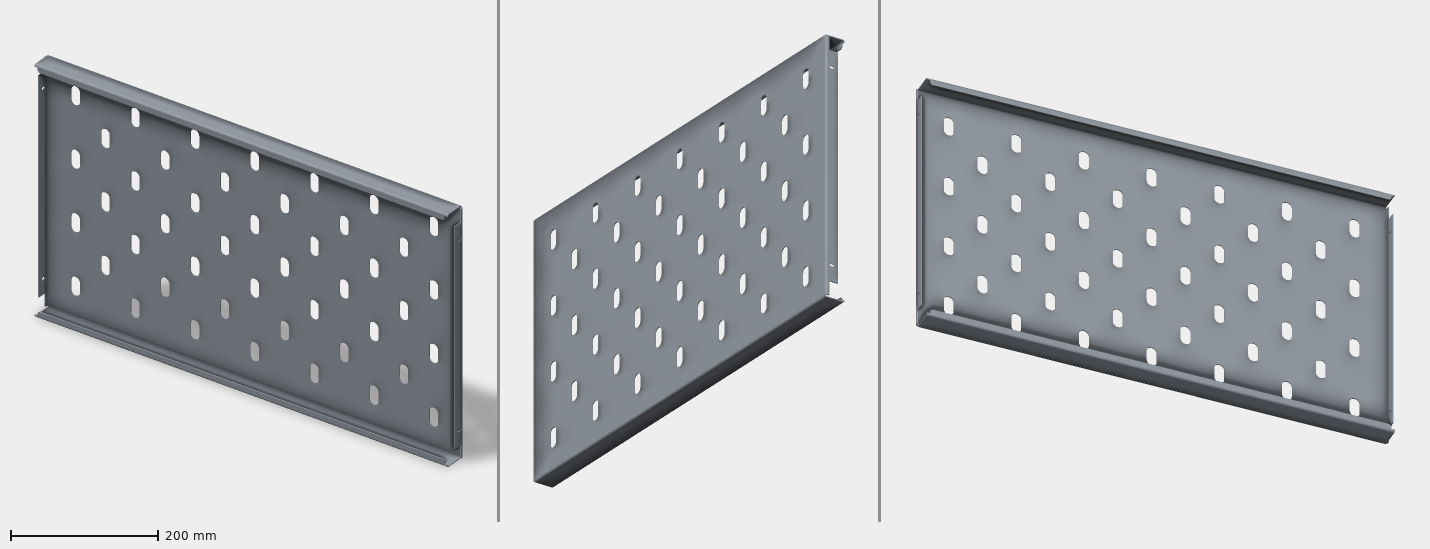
import cadquery as cq

LENGTH = 698.0
DEPTH = 33.0
HEIGHT = 398.0

THICKNESS = 1.5
BEND_INNER = 1.5
BEND_OUTER = BEND_INNER + THICKNESS

FLANGE_LENGTH = LENGTH - 2 * BEND_OUTER
LIP_HEIGHT = 10.8
LIP_END_INSET = 5.5
LIP_LEDGE = 0.8
LIP_CHAMFER = 2.5

SIDE_DEPTH = 20.0
SIDE_FLANGE_HEIGHT = 350.0
SIDE_STRIP_DEPTH = 5.5
CORNER_DROP = 2.5
SIDE_STRIP_HEIGHT = HEIGHT - 2 * CORNER_DROP

FIXING_LENGTH = 7.0
FIXING_WIDTH = 4.0
FIXING_COUNT = 2
FIXING_SPACING = 300.0
FIXING_FROM_BACK = 10.0

SLOT_LENGTH = 30.0
SLOT_WIDTH = 15.0
SLOT_PITCH = 100.0
MAIN_COLUMNS = 7
MAIN_ROWS = 4

HALF_LENGTH = LENGTH / 2
HALF_HEIGHT = HEIGHT / 2


def box(x_size, y_min, y_max, z_size):
    """Box centred on X and Z, between two Y positions."""
    return (
        cq.Workplane("XY")
        .box(x_size, y_max - y_min, z_size)
        .translate((0, (y_min + y_max) / 2, 0))
    )


def channel_with_lips():
    """Panel with the top and bottom flanges and their lips, without any cut at the ends."""
    outer = box(FLANGE_LENGTH, -DEPTH, 0, HEIGHT).edges("|X").fillet(BEND_OUTER)
    inner = (
        box(FLANGE_LENGTH, -DEPTH + THICKNESS, -THICKNESS, HEIGHT - 2 * THICKNESS)
        .edges("|X")
        .fillet(BEND_INNER)
    )
    mouth = box(FLANGE_LENGTH, -DEPTH, -DEPTH / 2, HEIGHT - 2 * LIP_HEIGHT)
    return outer.cut(inner).cut(mouth)


def lip_end_cutter(x_sign, z_sign):
    """Removes the end of one lip, leaving it inset and chamfered."""
    x_end = FLANGE_LENGTH / 2
    x_lip = x_end - LIP_END_INSET
    z_root = HALF_HEIGHT - BEND_OUTER - LIP_LEDGE
    z_tip = HALF_HEIGHT - LIP_HEIGHT
    outline = [
        (x_end, z_root),
        (x_lip, z_root),
        (x_lip, z_tip + LIP_CHAMFER),
        (x_lip - LIP_CHAMFER, z_tip),
        (x_end, z_tip),
    ]
    return (
        cq.Workplane("XZ", origin=(0, -DEPTH + BEND_OUTER, 0))
        .polyline([(x_sign * x, z_sign * z) for x, z in outline])
        .close()
        .extrude(BEND_OUTER)
    )


def side_walls():
    """Both side flanges with their bends and the panel between them."""
    outer = (
        box(LENGTH, -SIDE_DEPTH, 0, SIDE_STRIP_HEIGHT)
        .edges("|Z and >Y")
        .fillet(BEND_OUTER)
    )
    inner = (
        box(LENGTH - 2 * THICKNESS, -SIDE_DEPTH, -THICKNESS, SIDE_STRIP_HEIGHT)
        .edges("|Z and >Y")
        .fillet(BEND_INNER)
    )
    end_cuts = box(LENGTH, -SIDE_DEPTH, -SIDE_STRIP_DEPTH, SIDE_STRIP_HEIGHT).cut(
        box(LENGTH, -SIDE_DEPTH, -SIDE_STRIP_DEPTH, SIDE_FLANGE_HEIGHT)
    )
    return outer.cut(inner).cut(end_cuts)


def slot_grid(columns, rows):
    """Upright slots through the panel on a centred square grid."""
    return (
        cq.Workplane("XZ")
        .rarray(SLOT_PITCH, SLOT_PITCH, columns, rows)
        .slot2D(SLOT_LENGTH, SLOT_WIDTH, 90)
        .extrude(THICKNESS)
    )


def fixing_slots():
    """Small slots running along X through both side flanges."""
    return (
        cq.Workplane("YZ", origin=(-HALF_LENGTH, -FIXING_FROM_BACK, 0))
        .rarray(1, FIXING_SPACING, 1, FIXING_COUNT)
        .slot2D(FIXING_LENGTH, FIXING_WIDTH)
        .extrude(LENGTH)
    )


channel = channel_with_lips()
for x_side in (-1, 1):
    for z_side in (-1, 1):
        channel = channel.cut(lip_end_cutter(x_side, z_side))

tray = channel.union(side_walls())
tray = tray.cut(slot_grid(MAIN_COLUMNS, MAIN_ROWS))
tray = tray.cut(slot_grid(MAIN_COLUMNS - 1, MAIN_ROWS - 1))
result = tray.cut(fixing_slots())